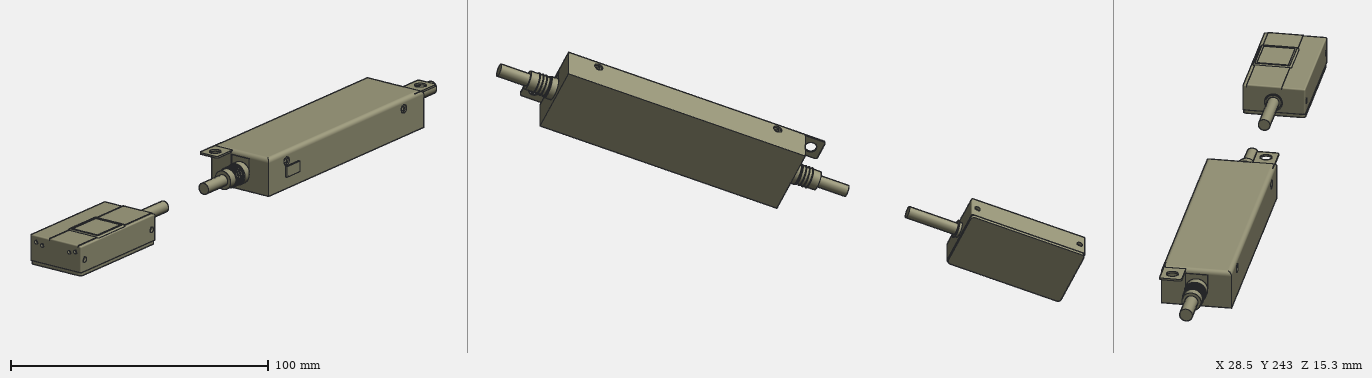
import cadquery as cq

total_length = 243.0
total_width = 28.5
total_height = 15.3
cable_z = -0.7

button_rise = 0.7
module_width = total_width - button_rise
module_length = 100.5
module_height = total_height
module_round = 1.8
axis_x = -button_rise / 2
module_front = -2.2
module_back = module_front + module_length

tab_width = 8.8
tab_reach = 9.0
tab_thickness = 0.7
tab_inset = 0.7
tab_drop = 0.2
tab_round = 1.0
tab_hole_diameter = 4.5
tab_root = 4.9

button_length = 8.5
button_height = 4.4
button_y = 13.0
button_z = -0.5

recess_diameter = 3.5
recess_hole_diameter = 1.7
recess_depth = 0.7
recess_hole_depth = 2.0
recess_z = 3.6
recess_setback = 11.7
recess_spacing = 75.8

sleeve_length = 11.2
sleeve_diameter = 7.5
collar_diameter = 8.8
collar_length = 2.7
fin_diameter = 8.3
fin_thickness = 0.2
fin_pitch = 1.5
fin_count = 4
tip_length = 3.5
slot_depth = 0.5
slot_top = 5.8
back_cable_diameter = 5.0
front_cable_diameter = 4.5
front_cable_end = -25.8

remote_width = 24.8
remote_length = 48.1
remote_front = -total_length / 2
remote_back = remote_front + remote_length
remote_bottom = -7.0
remote_top = 5.0
base_height = 1.5
base_corner_round = 1.5
base_inset = 0.12
shell_round = 0.6
cover_rise = 0.2
cover_left = -3.5
cover_right = 10.5
cover_top = remote_top + cover_rise
key_x = 3.6
key_y = -100.5
key_width = 15.3
key_length = 18.2
key_rise = 0.5
key_corner_round = 1.2
key_bevel = 0.7
key_rim = 0.7
key_dish = 0.2
side_hole_diameter = 2.2
side_hole_depth = 1.2
side_hole_inset = 2.5
end_hole_diameter = 1.5
end_hole_depth = 1.2
end_hole_places = [(6.5, 1.7), (9.5, 2.5)]
remote_cable_end = -51.5
neck_diameter = 6.0
neck_length = 1.5
flange_diameter = 7.0
flange_thickness = 0.2


def box(x_range, y_range, z_range):
    """Box that fills the three given ranges."""
    size = [high - low for low, high in (x_range, y_range, z_range)]
    corner = (x_range[0], y_range[0], z_range[0])
    return cq.Workplane("XY").box(*size, centered=False).translate(corner)


def rod(diameter, start, end):
    """Round bar on the cable axis between two places along Y."""
    radius = diameter / 2
    length = abs(end - start)
    direction = 1 if end > start else -1
    solid = cq.Solid.makeCylinder(
        radius, length, cq.Vector(axis_x, start, cable_z), cq.Vector(0, direction, 0)
    )
    return cq.Workplane(obj=solid)


def tab(end, outward):
    """Mounting tab with a hole, on the -X half of the front end or the +X half of the back end."""
    outer_x = axis_x + outward * (module_width / 2 - tab_inset)
    center_x = outer_x - outward * tab_width / 2
    length = tab_reach + tab_root
    top = module_height / 2 - tab_drop
    plate = (
        cq.Workplane("XY", origin=(center_x, end + outward * (tab_reach - length / 2), top - tab_thickness))
        .rect(tab_width, length)
        .extrude(tab_thickness)
        .edges("|Z")
        .edges(">Y" if outward > 0 else "<Y")
        .fillet(tab_round)
    )
    hole = (
        cq.Workplane("XY", origin=(center_x, end + outward * tab_reach / 2, top - tab_thickness))
        .circle(tab_hole_diameter / 2)
        .extrude(tab_thickness)
    )
    return plate.cut(hole)


def sleeve(end, outward):
    """Finned strain relief sleeve standing on one end face of the module."""
    shape = rod(sleeve_diameter, end, end + outward * sleeve_length)
    shape = shape.union(rod(collar_diameter, end - outward * slot_depth, end + outward * collar_length))
    for i in range(fin_count):
        fin_end = end + outward * (sleeve_length - tip_length - i * fin_pitch)
        shape = shape.union(rod(fin_diameter, fin_end - outward * fin_thickness, fin_end))
    return shape


def collar_slot(end, outward):
    """Shallow slot in an end face, as wide as the collar and rising from its axis."""
    half_width = collar_diameter / 2
    return box(
        (axis_x - half_width, axis_x + half_width),
        sorted((end, end - outward * slot_depth)),
        (cable_z, slot_top),
    )


def screw_recess(side, y):
    """Stepped round recess going into a long side of the module."""
    face = cq.Vector(axis_x + side * module_width / 2, y, recess_z)
    inward = cq.Vector(-side, 0, 0)
    head = cq.Solid.makeCylinder(recess_diameter / 2, recess_depth, face, inward)
    hole = cq.Solid.makeCylinder(recess_hole_diameter / 2, recess_hole_depth, face, inward)
    return cq.Workplane(obj=head.fuse(hole))


def make_module():
    half_width = module_width / 2
    half_height = module_height / 2
    shape = box(
        (axis_x - half_width, axis_x + half_width),
        (module_front, module_back),
        (-half_height, half_height),
    )
    shape = shape.faces(">Z").edges().fillet(module_round)

    for end, outward in ((module_front, -1), (module_back, 1)):
        shape = shape.cut(collar_slot(end, outward))
        shape = shape.union(sleeve(end, outward))
        shape = shape.union(tab(end, outward))
    shape = shape.union(rod(front_cable_diameter, module_front, front_cable_end))
    shape = shape.union(rod(back_cable_diameter, module_back, total_length / 2))

    button = box(
        (axis_x + half_width, total_width / 2),
        (button_y - button_length / 2, button_y + button_length / 2),
        (button_z - button_height / 2, button_z + button_height / 2),
    )
    shape = shape.union(button)

    for side in (-1, 1):
        for spacing in (0, recess_spacing):
            shape = shape.cut(screw_recess(side, module_front + recess_setback + spacing))
    return shape


def push_key():
    """Raised key with a bevelled rim around a slightly dished face."""
    key_top = cover_top + key_rise
    root = remote_top - shell_round
    pad = (
        cq.Workplane("XY", origin=(key_x, key_y, root))
        .rect(key_width, key_length)
        .extrude(key_top - root)
        .edges("|Z")
        .fillet(key_corner_round)
        .faces(">Z")
        .chamfer(key_bevel)
    )
    margin = 2 * (key_bevel + key_rim)
    dish = (
        cq.Workplane("XY", origin=(key_x, key_y, key_top - key_dish))
        .rect(key_width - margin, key_length - margin)
        .extrude(key_dish)
    )
    return pad.cut(dish)


def make_remote():
    left = axis_x - remote_width / 2
    right = axis_x + remote_width / 2
    base_top = remote_bottom + base_height
    base = box(
        (left + base_inset, right - base_inset),
        (remote_front + base_inset, remote_back - base_inset),
        (remote_bottom, base_top),
    )
    base = base.edges("|Z").fillet(base_corner_round)

    shell = box((left, right), (remote_front, remote_back), (base_top, remote_top))
    shell = shell.edges("|Z or >Z").fillet(shell_round)

    cover = box(
        (cover_left, cover_right),
        (remote_front, remote_back),
        (remote_top - 2 * shell_round, cover_top),
    )
    cover = cover.edges(">Z and |X").fillet(shell_round)
    shape = shell.union(base).union(cover).union(push_key())

    for y in (remote_front + side_hole_inset, remote_back - side_hole_inset):
        for x, inward in ((left, 1), (right, -1)):
            hole = cq.Solid.makeCylinder(
                side_hole_diameter / 2, side_hole_depth, cq.Vector(x, y, cable_z), cq.Vector(inward, 0, 0)
            )
            shape = shape.cut(cq.Workplane(obj=hole))

    for side in (-1, 1):
        for offset, height in end_hole_places:
            place = cq.Vector(axis_x + side * offset, remote_front, height)
            hole = cq.Solid.makeCylinder(
                end_hole_diameter / 2, end_hole_depth, place, cq.Vector(0, 1, 0)
            )
            shape = shape.cut(cq.Workplane(obj=hole))

    neck_end = remote_back + neck_length
    shape = shape.union(rod(neck_diameter, remote_back, neck_end))
    shape = shape.union(rod(flange_diameter, neck_end - flange_thickness, neck_end))
    return shape.union(rod(front_cable_diameter, remote_back, remote_cable_end))


module = make_module()
remote = make_remote()
result = cq.Compound.makeCompound([module.val(), remote.val()])